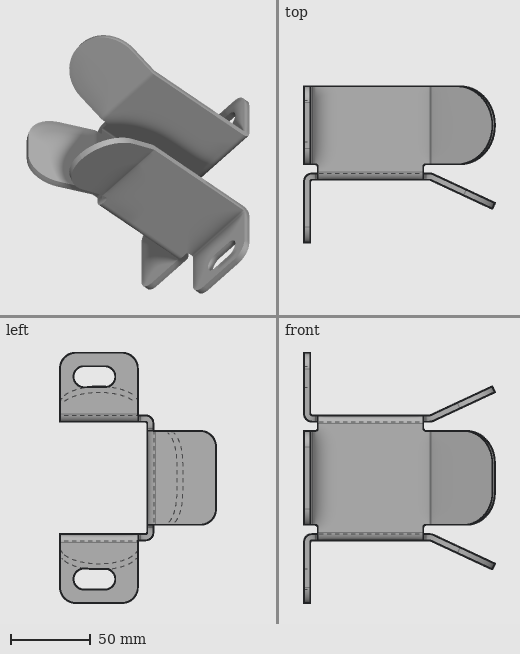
import cadquery as cq
import math

thickness = 4.0
inner_bend_radius = 1.0
outer_bend_radius = inner_bend_radius + thickness

overall_height = 156.7
foot_height = 39.2
channel_height = overall_height - 2 * foot_height
channel_depth = 58.6
channel_start = 8.6
channel_end = 74.7

notch_depth = 9.7
notch_radius = 1.5
foot_corner_radius = 10.0
tab_bend_x = 79.0
tab_tip_x = 119.5
tab_angle = math.radians(25)
back_tab_radius = 20.0
side_tab_radius = 24.3

slot_length = 26.0
slot_width = 13.0
slot_from_open_edge = 21.6
slot_from_foot_edge = 15.0

back_strip_width = channel_height - 2 * notch_depth
side_strip_width = channel_depth - notch_depth


def nearest_edges(body, points):
    """Select the edge whose centre is nearest to each point."""
    edges = [body.edges(cq.selectors.NearestToPointSelector(point)).val() for point in points]
    return body.newObject(edges)


def make_strip(width, tab_radius):
    """Foot, wall and tab bent from one strip, with outward along +Z and width centred on Y."""
    tip_outer_x = tab_tip_x - thickness * math.sin(tab_angle)
    tip_outer_z = (tip_outer_x - tab_bend_x) * math.tan(tab_angle)
    tip_inner_z = tip_outer_z - thickness * math.cos(tab_angle)
    inner_tab_bend_x = tab_bend_x + thickness * math.tan(tab_angle / 2)
    half_width = width / 2

    strip = (
        cq.Workplane("XZ")
        .polyline([
            (0, foot_height),
            (thickness, foot_height),
            (thickness, 0),
            (tab_bend_x, 0),
            (tip_outer_x, tip_outer_z),
            (tab_tip_x, tip_inner_z),
            (inner_tab_bend_x, -thickness),
            (0, -thickness),
        ])
        .close()
        .extrude(half_width, both=True)
    )
    inside_bends = [(thickness, 0, 0), (tab_bend_x, 0, 0)]
    outside_bends = [(0, 0, -thickness), (inner_tab_bend_x, 0, -thickness)]
    strip = nearest_edges(strip, inside_bends).fillet(inner_bend_radius)
    strip = nearest_edges(strip, outside_bends).fillet(outer_bend_radius)

    tip_x = (tip_outer_x + tab_tip_x) / 2
    tip_z = (tip_outer_z + tip_inner_z) / 2
    foot_corners = [(thickness / 2, side * half_width, foot_height) for side in (-1, 1)]
    tab_corners = [(tip_x, side * half_width, tip_z) for side in (-1, 1)]
    strip = nearest_edges(strip, foot_corners).fillet(foot_corner_radius)
    return nearest_edges(strip, tab_corners).fillet(tab_radius)


def make_channel():
    """U-shaped middle length with rounded back corners."""
    length = channel_end - channel_start
    outside = (
        cq.Workplane("XY")
        .box(length, channel_depth, channel_height, centered=(False, False, True))
        .edges("|X and <Y")
        .fillet(outer_bend_radius)
    )
    inside = (
        cq.Workplane("XY")
        .box(length, channel_depth, channel_height - 2 * thickness, centered=(False, False, True))
        .edges("|X and <Y")
        .fillet(inner_bend_radius)
        .translate((0, thickness, 0))
    )
    return outside.cut(inside).translate((channel_start, 0, 0))


def make_side_strip():
    """Upper side strip with its slotted foot."""
    slot_y = channel_depth - slot_from_open_edge
    slot_z = overall_height / 2 - slot_from_foot_edge
    slot = (
        cq.Workplane("YZ")
        .center(slot_y, slot_z)
        .slot2D(slot_length, slot_width)
        .extrude(thickness)
    )
    strip_y = notch_depth + side_strip_width / 2
    strip = make_strip(side_strip_width, side_tab_radius)
    return strip.translate((0, strip_y, channel_height / 2)).cut(slot)


def round_notches(body):
    """Round the inside corners where each strip runs into the channel."""
    corners = []
    for x in (channel_start, channel_end):
        for side in (-1, 1):
            corners.append((x, thickness / 2, side * back_strip_width / 2))
            corners.append((x, notch_depth, side * (channel_height - thickness) / 2))
    return nearest_edges(body, corners).fillet(notch_radius)


back_strip = make_strip(back_strip_width, back_tab_radius).rotate((0, 0, 0), (1, 0, 0), 90)
side_strip = make_side_strip()
bracket = make_channel().union(back_strip).union(side_strip).union(side_strip.mirror("XY"))
result = round_notches(bracket)